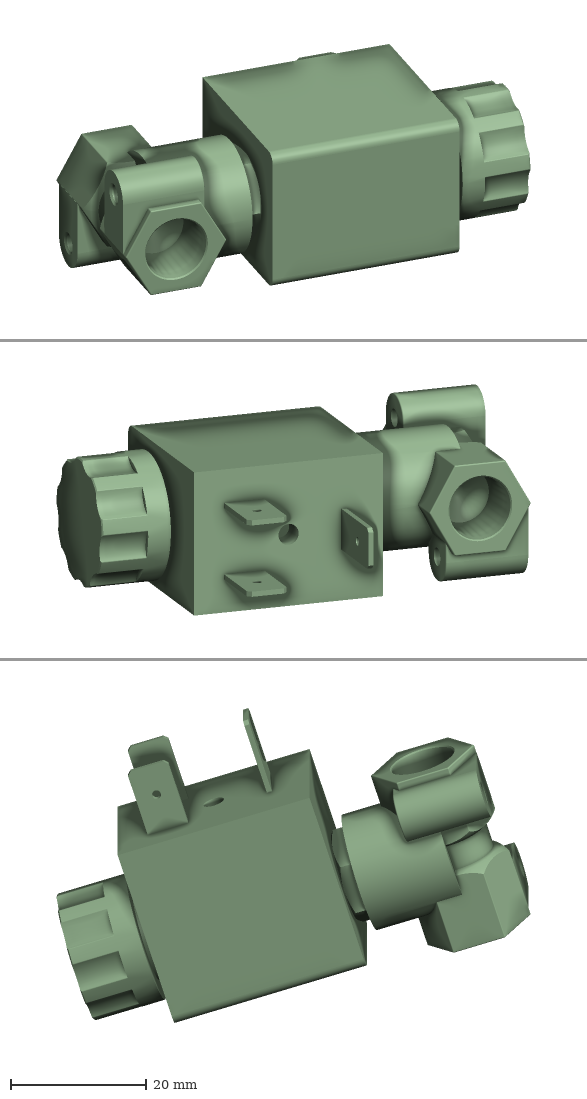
import cadquery as cq
import math


overall_length = 66.25

coil_width = 28.0
coil_length = 29.8
coil_height = 22.05
coil_left = -17.0
coil_corner_radius = 1.5
screw_hole_diameter = 3.2
screw_hole_depth = 4.0

blade_thickness = 0.8
blade_width = 6.3
blade_corner = 0.6
blade_hole_diameter = 1.3
blade_hole_inset = 4.65
side_blade_length = 10.3
side_blade_y = 7.1
side_blade_z = 5.5
ground_blade_length = 11.65
ground_blade_y = -8.7

collar_length = 1.0
collar_coil_radius = 6.35
collar_knob_radius = 6.7
knob_radius = 9.8
knob_length = 10.85
knob_edge_chamfer = 0.2
flute_count = 9
flute_first_angle = 30.0
flute_half_angle = 13.0
flute_depth = 0.9
flute_edge_fillet = 0.2
flute_length = 7.3

nut_across_flats = 13.05
nut_length = 2.4
nut_chamfer_angle = math.radians(30)
bonnet_diameter = 17.9

fitting_length = 27.95
fitting_across_flats = 13.9
waist_width = 3.9
waist_radius = 6.0
shoulder_mid_radius = 7.0
shoulder_mid_length = 0.6
shoulder_length = 1.6
cast_edge_fillet = 0.2
port_mouth_radius = 5.05
port_bore_radius = 4.85
port_inner_radius = 4.3
port_chamfer = 0.2
port_depth = 7.95
drill_tip_angle = math.radians(118)

lug_radius = 3.7
lug_offset_x = 9.1
lug_tip_span = 23.9
lug_length = 13.05
lug_hole_diameter = 2.8
lug_hole_chamfer = 0.3

hexagon_ratio = math.cos(math.radians(30))
coil_front = -coil_length / 2
coil_back = coil_length / 2
knob_base = coil_back + collar_length
knob_top = knob_base + knob_length
bonnet_back = coil_front - nut_length
nut_corner_radius = nut_across_flats / 2 / hexagon_ratio
fitting_corner_radius = fitting_across_flats / 2 / hexagon_ratio
fitting_front = knob_top - overall_length
fitting_y = fitting_front + fitting_corner_radius
bonnet_length = bonnet_back - fitting_y
lug_offset_z = lug_tip_span / 2 - lug_radius


def turned(profile):
    """Revolve a (radius, y) outline about the Y axis."""
    return cq.Workplane("XY").polyline(profile).close().revolve(360, (0, 0, 0), (0, 1, 0))


def make_coil():
    coil = (
        cq.Workplane("XY")
        .box(coil_width, coil_length, coil_height)
        .translate((coil_left + coil_width / 2, 0, 0))
        .edges("|Y and >X")
        .fillet(coil_corner_radius)
    )
    screw_hole = (
        cq.Workplane("YZ", origin=(coil_left, 0, 0))
        .circle(screw_hole_diameter / 2)
        .extrude(screw_hole_depth)
    )
    return coil.cut(screw_hole)


def make_blade(length):
    """Flat blade reaching from X = 0 toward -X, centred on the X axis, with its faces along Z."""
    blade = (
        cq.Workplane("XY")
        .box(length, blade_width, blade_thickness)
        .translate((-length / 2, 0, 0))
        .edges("|Z and <X")
        .chamfer(blade_corner)
    )
    hole = (
        cq.Workplane("XY")
        .center(blade_hole_inset - length, 0)
        .circle(blade_hole_diameter / 2)
        .extrude(blade_thickness, both=True)
    )
    return blade.cut(hole)


def make_terminals():
    side_blade = make_blade(side_blade_length)
    ground_blade = make_blade(ground_blade_length).rotate((0, 0, 0), (1, 0, 0), 90)
    terminals = ground_blade.translate((coil_left, ground_blade_y, 0))
    for z in (-side_blade_z, side_blade_z):
        terminals = terminals.union(side_blade.translate((coil_left, side_blade_y, z)))
    return terminals


def make_knob():
    collar = turned([
        (0, coil_back),
        (collar_coil_radius, coil_back),
        (collar_knob_radius, knob_base),
        (0, knob_base),
    ])
    rim_radius = knob_radius - knob_edge_chamfer
    knob = turned([
        (0, knob_base),
        (knob_radius, knob_base),
        (knob_radius, knob_top - knob_edge_chamfer),
        (rim_radius, knob_top),
        (0, knob_top),
    ])
    half_chord = knob_radius * math.sin(math.radians(flute_half_angle))
    chord_distance = knob_radius * math.cos(math.radians(flute_half_angle))
    floor_distance = knob_radius - flute_depth
    sagitta = chord_distance - floor_distance
    flute_radius = (half_chord**2 + sagitta**2) / (2 * sagitta)
    flutes = (
        cq.Workplane("XZ", origin=(0, knob_top, 0))
        .polarArray(floor_distance + flute_radius, flute_first_angle, 360, flute_count)
        .circle(flute_radius)
        .extrude(flute_length)
    )
    knob = knob.cut(flutes).edges("|Y").fillet(flute_edge_fillet)
    return collar.union(knob)


def make_nut():
    nut = (
        cq.Workplane("XZ", origin=(0, coil_front, 0))
        .polygon(6, 2 * nut_corner_radius)
        .extrude(nut_length)
    )
    face_radius = nut_across_flats / 2
    chamfer_length = (nut_corner_radius - face_radius) * math.tan(nut_chamfer_angle)
    envelope = turned([
        (0, coil_front),
        (face_radius, coil_front),
        (nut_corner_radius, coil_front - chamfer_length),
        (nut_corner_radius, bonnet_back),
        (0, bonnet_back),
    ])
    return nut.intersect(envelope)


def make_bonnet():
    return (
        cq.Workplane("XZ", origin=(0, bonnet_back, 0))
        .circle(bonnet_diameter / 2)
        .extrude(bonnet_length)
    )


def make_fitting():
    fitting = (
        cq.Workplane("YZ", origin=(-fitting_length / 2, fitting_y, 0))
        .polygon(6, 2 * fitting_corner_radius)
        .extrude(fitting_length)
        .edges()
        .fillet(cast_edge_fillet)
    )
    half_waist = waist_width / 2
    dome_mid = half_waist + shoulder_mid_length
    half_opening = half_waist + shoulder_length
    groove = (
        cq.Workplane("XY", origin=(0, fitting_y, 0))
        .moveTo(-half_waist, waist_radius)
        .lineTo(half_waist, waist_radius)
        .threePointArc((dome_mid, shoulder_mid_radius), (half_opening, fitting_corner_radius))
        .lineTo(-half_opening, fitting_corner_radius)
        .threePointArc((-dome_mid, shoulder_mid_radius), (-half_waist, waist_radius))
        .close()
        .revolve(360, (0, 0, 0), (1, 0, 0))
    )
    return fitting.cut(groove)


def make_port(side):
    """Chamfered, tapered blind bore with a drill tip, entering the fitting end on the given side."""
    mouth_x = side * fitting_length / 2
    shoulder_x = side * (fitting_length / 2 - port_depth)
    tip_x = shoulder_x - side * port_inner_radius / math.tan(drill_tip_angle / 2)
    return (
        cq.Workplane("XY", origin=(0, fitting_y, 0))
        .moveTo(mouth_x, 0)
        .lineTo(mouth_x, port_mouth_radius)
        .lineTo(mouth_x - side * port_chamfer, port_bore_radius)
        .lineTo(shoulder_x, port_inner_radius)
        .lineTo(tip_x, 0)
        .close()
        .revolve(360, (0, 0, 0), (1, 0, 0))
    )


def make_lug(side):
    """Round-ended lug running along Y, standing up on the +X side and down on the -X side."""
    x = side * lug_offset_x
    z = side * lug_offset_z
    lug_plane = cq.Workplane("XZ", origin=(x, fitting_front, 0))
    web = lug_plane.center(0, z / 2).rect(2 * lug_radius, lug_offset_z).extrude(-lug_length)
    barrel = lug_plane.center(0, z).circle(lug_radius).extrude(-lug_length)
    return web.union(barrel).faces(">Y").edges().fillet(cast_edge_fillet)


def make_lug_hole(side):
    hole_radius = lug_hole_diameter / 2
    hole = turned([
        (0, 0),
        (hole_radius + lug_hole_chamfer, 0),
        (hole_radius, lug_hole_chamfer),
        (hole_radius, lug_length),
        (0, lug_length),
    ])
    return hole.translate((side * lug_offset_x, fitting_front, side * lug_offset_z))


valve_body = make_bonnet().union(make_fitting())
for side in (-1, 1):
    valve_body = valve_body.union(make_lug(side))
for side in (-1, 1):
    valve_body = valve_body.cut(make_port(side)).cut(make_lug_hole(side))

result = make_coil()
for part in (make_terminals(), make_knob(), make_nut(), valve_body):
    result = result.union(part)